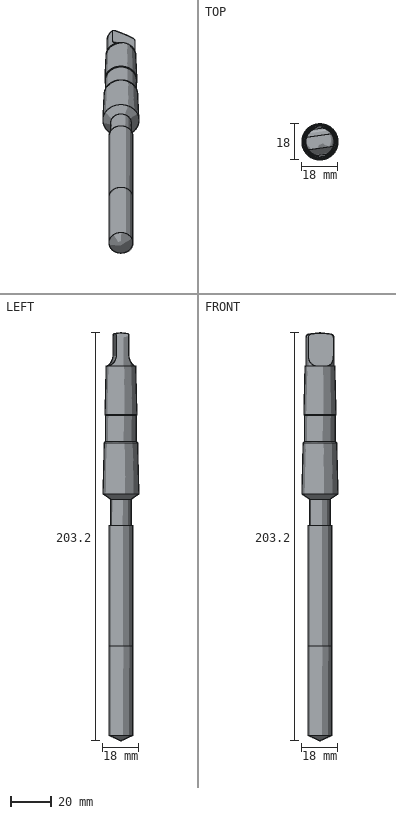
import cadquery as cq
import math

total_length = 203.2

tool_diameter = 12.0
point_angle = 130.0
head_top = 47.1

stem_top = 107.3
neck_diameter = 10.4
neck_top = 120.3
taper_bottom = 123.0

taper_diameter = 18.0
taper_ratio = 1 / 20
groove_diameter = 15.5
groove_bottom = 148.3
groove_top = 162.4
taper_top = 186.5

tang_diameter = 14.0
tang_thickness = 6.3
tang_angle = 8.0
tang_edge_radius = 1.8
tang_cone_height = 0.6
flat_bottom = 192.0
runout_radius = 6.0

tool_radius = tool_diameter / 2
point_height = tool_radius / math.tan(math.radians(point_angle / 2))


def taper_radius(z):
    """Radius of the shank taper at height z."""
    return (taper_diameter - taper_ratio * (z - taper_bottom)) / 2


def make_cutting_head():
    """Cylindrical cutting head with a conical point."""
    return (
        cq.Workplane("XZ")
        .moveTo(0, 0)
        .lineTo(tool_radius, point_height)
        .lineTo(tool_radius, head_top)
        .lineTo(0, head_top)
        .close()
        .revolve(360, (0, 0), (0, 1))
    )


def make_turned_shank():
    """Stem, neck and relieved taper, turned about the tool axis."""
    neck_radius = neck_diameter / 2
    groove_radius = groove_diameter / 2
    bottom_depth = taper_radius(groove_bottom) - groove_radius
    top_depth = taper_radius(groove_top) - groove_radius
    return (
        cq.Workplane("XZ")
        .moveTo(0, head_top)
        .lineTo(tool_radius, head_top)
        .lineTo(tool_radius, stem_top)
        .lineTo(neck_radius, stem_top)
        .lineTo(neck_radius, neck_top)
        .lineTo(taper_radius(taper_bottom), taper_bottom)
        .lineTo(taper_radius(groove_bottom), groove_bottom)
        .lineTo(groove_radius, groove_bottom + bottom_depth)
        .lineTo(groove_radius, groove_top - top_depth)
        .lineTo(taper_radius(groove_top), groove_top)
        .lineTo(taper_radius(taper_top), taper_top)
        .lineTo(0, taper_top)
        .close()
        .revolve(360, (0, 0), (0, 1))
    )


def make_tang_blank():
    """Round tang with a rounded rim and a shallow conical end."""
    tang_radius = tang_diameter / 2
    rim_top = total_length - tang_cone_height
    rim_bottom = rim_top - tang_edge_radius
    rim_inner = tang_radius - tang_edge_radius
    diagonal = tang_edge_radius * math.sqrt(0.5)
    return (
        cq.Workplane("XZ")
        .moveTo(0, taper_top)
        .lineTo(tang_radius, taper_top)
        .lineTo(tang_radius, rim_bottom)
        .threePointArc((rim_inner + diagonal, rim_bottom + diagonal), (rim_inner, rim_top))
        .lineTo(0, total_length)
        .close()
        .revolve(360, (0, 0), (0, 1))
    )


def make_tang_profile():
    """Flat-sided slab whose sides flare out along round runouts at the foot."""
    half_thickness = tang_thickness / 2

    def runout_point(z):
        drop = flat_bottom - z
        return half_thickness + runout_radius - math.sqrt(runout_radius**2 - drop**2)

    runout_middle = (flat_bottom + taper_top) / 2
    foot = runout_point(taper_top)
    middle = runout_point(runout_middle)
    return (
        cq.Workplane("YZ")
        .moveTo(-half_thickness, total_length)
        .lineTo(-half_thickness, flat_bottom)
        .threePointArc((-middle, runout_middle), (-foot, taper_top))
        .lineTo(foot, taper_top)
        .threePointArc((middle, runout_middle), (half_thickness, flat_bottom))
        .lineTo(half_thickness, total_length)
        .close()
        .extrude(tang_diameter / 2, both=True)
    )


def make_shank():
    """Turned shank with its tang rotated about the tool axis."""
    tang = make_tang_blank().intersect(make_tang_profile())
    tang = tang.rotate((0, 0, 0), (0, 0, 1), tang_angle)
    return make_turned_shank().union(tang)


cutting_head = make_cutting_head()
shank = make_shank()

result = cq.Compound.makeCompound([cutting_head.val(), shank.val()])